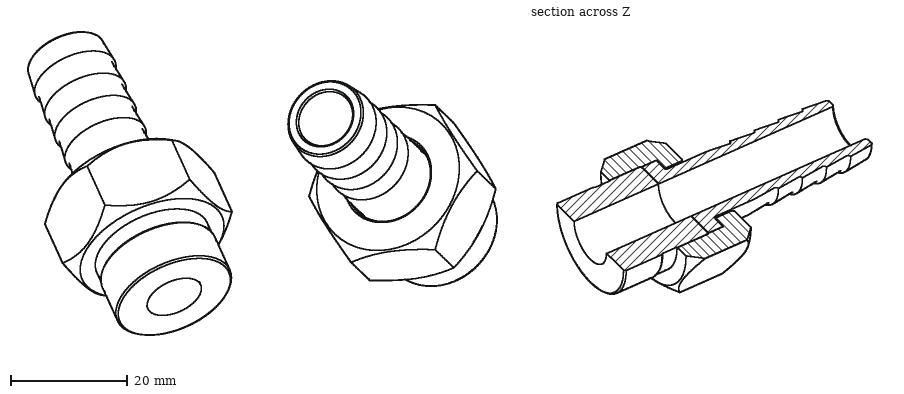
import cadquery as cq
import math

total_length = 54.0
bore_radius = 10.0 / 2
bore_chamfer = 0.3

barb_count = 5
barb_pitch = 4.995
barb_crest_radius = 15.0 / 2
barb_root_radius = 14.0 / 2
barb_root_fillet = barb_crest_radius - barb_root_radius
tip_radius = 13.35 / 2
tip_length = 0.3
shank_start = barb_count * barb_pitch
shank_radius = barb_crest_radius

nut_start = 29.5
nut_length = 13.5
nut_end = nut_start + nut_length
nut_across_flats = 27.0
nut_across_corners = nut_across_flats / math.cos(math.radians(30))
nut_face_radius = 26.45 / 2
nut_mouth_radius = 15.5 / 2
nut_mouth_chamfer = 0.3
nut_front_wall = 3.8

neck_radius = 20.9 / 2
flange_thickness = 3.25
flange_start = nut_start + nut_front_wall
flange_end = flange_start + flange_thickness
collar_start = 46.2
collar_radius = 21.3 / 2
collar_lead_in = 0.25
collar_end_chamfer = 0.3


def revolve_about_x(profile):
    """Turn an (x, radius) profile into a solid around the X axis."""
    return profile.close().revolve(360, (0, 0, 0), (1, 0, 0))


def make_hose_tail():
    """Bored tail with saw-tooth barbs, a plain shank and a retaining flange."""
    profile = (
        cq.Workplane("XY")
        .moveTo(0, bore_radius + bore_chamfer)
        .lineTo(0, tip_radius)
        .lineTo(tip_length, barb_root_radius)
    )
    for barb in range(1, barb_count):
        crest = barb * barb_pitch
        profile = profile.lineTo(crest, barb_crest_radius)
        profile = profile.radiusArc((crest + barb_root_fillet, barb_root_radius), -barb_root_fillet)
    profile = (
        profile.lineTo(shank_start, shank_radius)
        .lineTo(flange_start, shank_radius)
        .lineTo(flange_start, neck_radius)
        .lineTo(flange_end, neck_radius)
        .lineTo(flange_end, bore_radius)
        .lineTo(bore_chamfer, bore_radius)
    )
    return revolve_about_x(profile)


def make_nut():
    """Hexagon nut with 45 degree corner chamfers, a chamfered mouth and a wider chamber."""
    hexagon = (
        cq.Workplane("YZ", origin=(nut_start, 0, 0))
        .polygon(6, nut_across_corners)
        .extrude(nut_length)
    )
    corner_radius = nut_across_corners / 2
    corner_chamfer = corner_radius - nut_face_radius
    turned_envelope = revolve_about_x(
        cq.Workplane("XY")
        .moveTo(nut_start + nut_mouth_chamfer, nut_mouth_radius)
        .lineTo(nut_start, nut_mouth_radius + nut_mouth_chamfer)
        .lineTo(nut_start, nut_face_radius)
        .lineTo(nut_start + corner_chamfer, corner_radius)
        .lineTo(nut_end - corner_chamfer, corner_radius)
        .lineTo(nut_end, nut_face_radius)
        .lineTo(nut_end, neck_radius)
        .lineTo(flange_start, neck_radius)
        .lineTo(flange_start, nut_mouth_radius)
    )
    return hexagon.intersect(turned_envelope)


def make_male_end():
    """Bored end piece: a neck held in the nut and a larger chamfered collar."""
    profile = (
        cq.Workplane("XY")
        .moveTo(flange_end, bore_radius)
        .lineTo(flange_end, neck_radius)
        .lineTo(collar_start - collar_lead_in, neck_radius)
        .lineTo(collar_start, collar_radius)
        .lineTo(total_length - collar_end_chamfer, collar_radius)
        .lineTo(total_length, collar_radius - collar_end_chamfer)
        .lineTo(total_length, bore_radius)
    )
    return revolve_about_x(profile)


hose_tail = make_hose_tail()
nut = make_nut()
male_end = make_male_end()

result = cq.Compound.makeCompound([hose_tail.val(), nut.val(), male_end.val()])